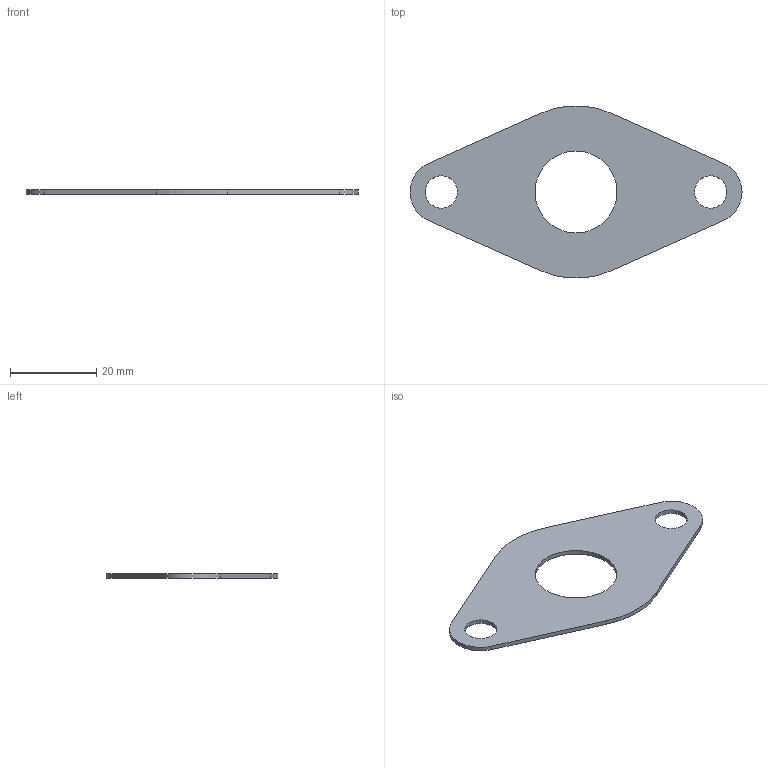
import cadquery as cq
import math

thickness = 1.0
overall_length = 77.0
body_radius = 20.0
bore_diameter = 19.0
bolt_hole_diameter = 7.5
bolt_spacing = 62.5

bolt_offset = bolt_spacing / 2
ear_radius = (overall_length - bolt_spacing) / 2

normal_angle = math.asin((body_radius - ear_radius) / bolt_offset)
body_tangent_x = body_radius * math.sin(normal_angle)
body_tangent_y = body_radius * math.cos(normal_angle)
ear_tangent_x = bolt_offset + ear_radius * math.sin(normal_angle)
ear_tangent_y = ear_radius * math.cos(normal_angle)


def make_plate():
    """Diamond flange plate: wide round middle blended into two round ears."""
    return (
        cq.Workplane("XY")
        .moveTo(-body_tangent_x, body_tangent_y)
        .threePointArc((0, body_radius), (body_tangent_x, body_tangent_y))
        .lineTo(ear_tangent_x, ear_tangent_y)
        .threePointArc((overall_length / 2, 0), (ear_tangent_x, -ear_tangent_y))
        .lineTo(body_tangent_x, -body_tangent_y)
        .threePointArc((0, -body_radius), (-body_tangent_x, -body_tangent_y))
        .lineTo(-ear_tangent_x, -ear_tangent_y)
        .threePointArc((-overall_length / 2, 0), (-ear_tangent_x, ear_tangent_y))
        .close()
        .extrude(thickness)
    )


def cut_bore(plate):
    """Central through bore."""
    return plate.faces(">Z").workplane(origin=(0, 0, thickness)).hole(bore_diameter)


def cut_bolt_holes(plate):
    """One through hole at the centre of each ear."""
    return (
        plate.faces(">Z")
        .workplane(origin=(0, 0, thickness))
        .pushPoints([(-bolt_offset, 0), (bolt_offset, 0)])
        .hole(bolt_hole_diameter)
    )


result = cut_bolt_holes(cut_bore(make_plate()))